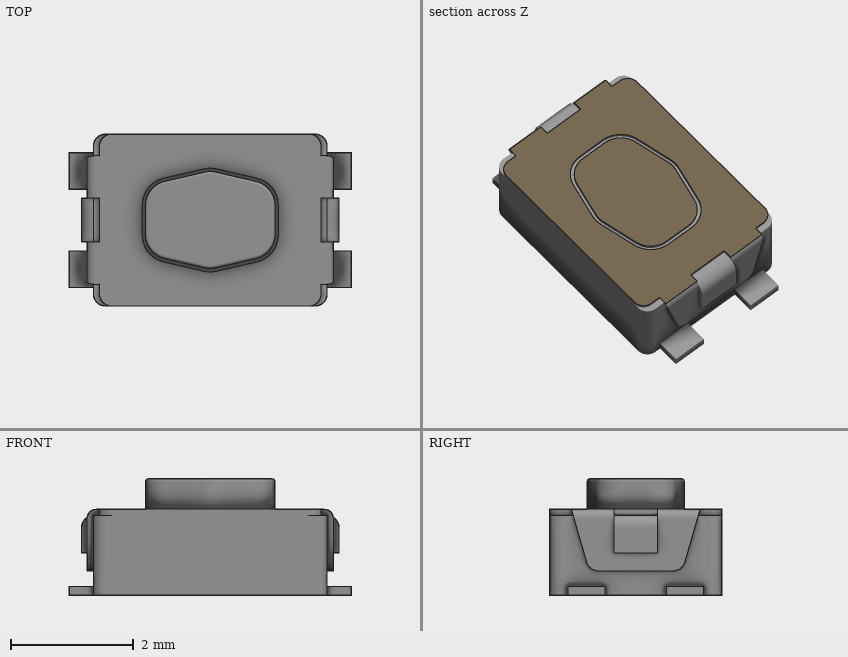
import cadquery as cq
import math

LENGTH = 4.6
WIDTH = 2.8
HEIGHT = 1.9

BODY_LENGTH = 3.81
BODY_TOP = 1.3
CORNER_RADIUS = 0.2

SHEET = 0.1
COVER_TOP = BODY_TOP + SHEET
COVER_END = BODY_LENGTH / 2 - SHEET

FLAP_OUTER = BODY_LENGTH / 2 + SHEET
FLAP_BOTTOM = 0.4
FLAP_BEND = 0.15
FLAP_TOP_HALF = 1.05
FLAP_BOTTOM_HALF = 0.76
FLAP_CORNER = 0.2

TAB_PROJECTION = 0.09
TAB_OUTER = FLAP_OUTER + TAB_PROJECTION
TAB_BOTTOM = 0.695
TAB_BEND = 2 * SHEET
TAB_WIDTH = 0.715

BUTTON_HALF_LENGTH = 1.055
BUTTON_POINT = 0.8
BUTTON_SLOPE = 13.0
BUTTON_CORNER_RADIUS = 0.4
BUTTON_EDGE_RADIUS = 0.045
BUTTON_GAP = 0.055

LEAD_THICKNESS = 0.145
LEAD_WIDTH = 0.6
LEAD_CENTER = 0.8


def rounded_plate(length, bottom, top):
    """Full-width plate with rounded vertical corners."""
    plate = cq.Workplane("XY").workplane(offset=bottom).rect(length, WIDTH).extrude(top - bottom)
    return plate.edges("|Z").fillet(CORNER_RADIUS)


def button_prism(gap, bottom, top):
    """Rounded hexagon whose sides are moved outwards by the gap."""
    slope = math.radians(BUTTON_SLOPE)
    x = BUTTON_HALF_LENGTH + gap
    point = BUTTON_POINT + gap / math.cos(slope)
    shoulder = point - x * math.tan(slope)
    outline = [(x, shoulder), (0, point), (-x, shoulder), (-x, -shoulder), (0, -point), (x, -shoulder)]
    prism = cq.Workplane("XY").workplane(offset=bottom).polyline(outline).close().extrude(top - bottom)
    return prism.edges("|Z").fillet(BUTTON_CORNER_RADIUS + gap)


def bent_end(outer, top, bottom, bend, half_width):
    """Block with the outer shape of sheet bent down over the +X end of the housing."""
    return (
        cq.Workplane("XZ")
        .moveTo(COVER_END, top)
        .lineTo(outer - bend, top)
        .radiusArc((outer, top - bend), bend)
        .lineTo(outer, bottom)
        .lineTo(COVER_END, bottom)
        .close()
        .extrude(half_width, both=True)
    )


def flap():
    """Tapered end flap, opened above the tab."""
    sheet = bent_end(FLAP_OUTER, COVER_TOP, FLAP_BOTTOM, FLAP_BEND, FLAP_TOP_HALF)
    taper = (
        cq.Workplane("YZ")
        .polyline([
            (-FLAP_TOP_HALF, COVER_TOP),
            (FLAP_TOP_HALF, COVER_TOP),
            (FLAP_BOTTOM_HALF, FLAP_BOTTOM),
            (-FLAP_BOTTOM_HALF, FLAP_BOTTOM),
        ])
        .close()
        .extrude(LENGTH)
        .edges("|X and <Z")
        .fillet(FLAP_CORNER)
    )
    window = (
        cq.Workplane("XY", origin=(COVER_END, 0, TAB_BOTTOM))
        .box(FLAP_OUTER - COVER_END, TAB_WIDTH, COVER_TOP - TAB_BOTTOM, centered=(False, True, False))
    )
    return sheet.intersect(taper).cut(window)


def tab():
    """Narrow tab bent from the housing top, with the flap metal filling in behind it."""
    return bent_end(TAB_OUTER, BODY_TOP, TAB_BOTTOM, TAB_BEND, TAB_WIDTH / 2)


def leads():
    """Two lead bars running the full length and projecting at both ends."""
    bars = cq.Workplane("XY").pushPoints([(0, -LEAD_CENTER), (0, LEAD_CENTER)])
    return bars.rect(LENGTH, LEAD_WIDTH).extrude(LEAD_THICKNESS)


body = rounded_plate(BODY_LENGTH, 0, BODY_TOP)

cover = rounded_plate(2 * COVER_END, BODY_TOP, COVER_TOP)
cover = cover.cut(button_prism(BUTTON_GAP, BODY_TOP, COVER_TOP))

button = button_prism(0, BODY_TOP, HEIGHT).faces(">Z").edges().fillet(BUTTON_EDGE_RADIUS)

result = body.union(cover).union(button).union(leads())
for end_part in (flap(), tab()):
    result = result.union(end_part).union(end_part.mirror("YZ"))